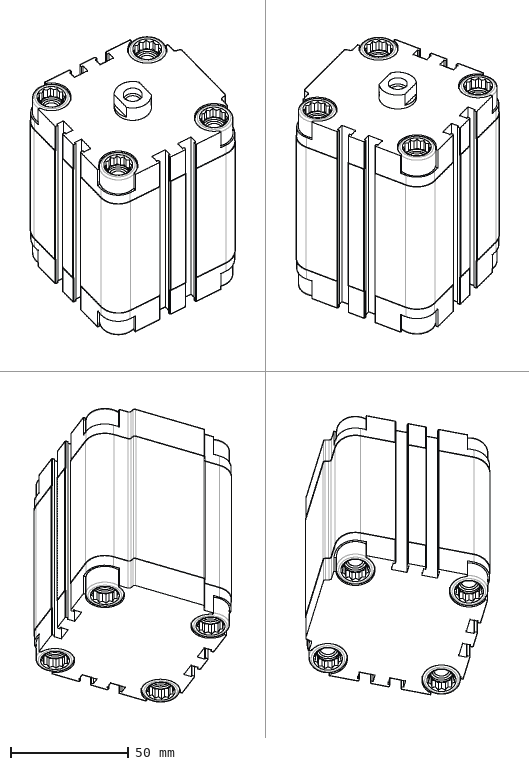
import cadquery as cq
import math

TOTAL_HEIGHT = 103.0
BODY_WIDTH = 68.0
ROD_PROJECTION = 7.5
HOUSING_HEIGHT = TOTAL_HEIGHT - ROD_PROJECTION
CAP_HEIGHT = 14.6
CAP_INSET = 0.2
CORNER_RADIUS = 9.1

PAD_RISE = 3.0
PAD_TOP_HALF_WIDTH = 16.7
PAD_BASE_HALF_WIDTH = 17.4
PAD_EDGE_ROUNDING = 0.8
PAD_ROOT_ROUNDING = 1.0

SLOT_OFFSET = 6.7
SLOT_NECK_WIDTH = 5.2
SLOT_WIDTH = 6.9
SLOT_LIP = 1.5
SLOT_DEPTH = 5.0
SLOT_LIP_CHAMFER = 0.3

BOSS_OFFSET = BODY_WIDTH / 2 - CORNER_RADIUS
BOSS_DIAMETER = 16.2
BOSS_ROUNDING = 0.9
POCKET_DIAMETER = 16.7
POCKET_DEPTH = 9.5
POCKET_INNER_EDGE = 22.2

SOCKET_POINTS = 12
SOCKET_INNER_RADIUS = 10.4 / 2
SOCKET_OUTER_RADIUS = SOCKET_INNER_RADIUS * math.cos(math.radians(15)) / math.cos(math.radians(30))
SOCKET_DEPTH = 5.3
SOCKET_MOUTH_DIAMETER = 12.4
SOCKET_MOUTH_DEPTH = 1.0
BORE_DIAMETER = 10.2
BORE_DEPTH = 6.4
HOLE_CHAMFER_DIAMETER = 8.0
THROUGH_HOLE_DIAMETER = 6.7

ROD_DIAMETER = 16.0
ROD_BOTTOM = HOUSING_HEIGHT - CAP_HEIGHT
FLAT_SPACING = 13.0
FLAT_HEIGHT = 6.0
ROD_COUNTERBORE_DIAMETER = 8.0
ROD_COUNTERBORE_DEPTH = 3.3
ROD_HOLE_DIAMETER = 6.7
ROD_HOLE_DEPTH = 14.4
DRILL_HALF_ANGLE = 59.0


def rounded_square(inset, bottom, height):
    """Square prism with rounded vertical corners."""
    width = BODY_WIDTH - 2 * inset
    return (
        cq.Workplane("XY", origin=(0, 0, bottom))
        .rect(width, width)
        .extrude(height)
        .edges("|Z")
        .fillet(CORNER_RADIUS - inset)
    )


def back_pad(inset, bottom, height):
    """Raised pad reaching from the middle of the body out past the +Y face."""
    face = BODY_WIDTH / 2 - inset
    return (
        cq.Workplane("XY", origin=(0, 0, bottom))
        .polyline([
            (-PAD_BASE_HALF_WIDTH, 0),
            (PAD_BASE_HALF_WIDTH, 0),
            (PAD_BASE_HALF_WIDTH, face),
            (PAD_TOP_HALF_WIDTH, face + PAD_RISE),
            (-PAD_TOP_HALF_WIDTH, face + PAD_RISE),
            (-PAD_BASE_HALF_WIDTH, face),
        ])
        .close()
        .extrude(height)
    )


def sensor_slot(inset, bottom, height):
    """T-slot with bevelled lips, opening through the -Y face at X = 0."""
    face = inset - BODY_WIDTH / 2
    shoulder = SLOT_LIP - BODY_WIDTH / 2
    floor = SLOT_DEPTH - BODY_WIDTH / 2
    half_neck = SLOT_NECK_WIDTH / 2
    half_mouth = half_neck + SLOT_LIP_CHAMFER
    half_channel = SLOT_WIDTH / 2
    return (
        cq.Workplane("XY", origin=(0, 0, bottom))
        .polyline([
            (-half_mouth, face),
            (half_mouth, face),
            (half_neck, face + SLOT_LIP_CHAMFER),
            (half_neck, shoulder),
            (half_channel, shoulder),
            (half_channel, floor),
            (-half_channel, floor),
            (-half_channel, shoulder),
            (-half_neck, shoulder),
            (-half_neck, face + SLOT_LIP_CHAMFER),
        ])
        .close()
        .extrude(height)
    )


def profile_section(inset, bottom, height):
    """Length of the body: rounded square with the pad on +Y and slots on the other three faces."""
    section = rounded_square(inset, bottom, height).union(back_pad(inset, bottom, height))

    middle = bottom + height / 2
    face = BODY_WIDTH / 2 - inset
    for half_width, y, radius in (
        (PAD_BASE_HALF_WIDTH, face, PAD_ROOT_ROUNDING),
        (PAD_TOP_HALF_WIDTH, face + PAD_RISE, PAD_EDGE_ROUNDING),
    ):
        for x in (-half_width, half_width):
            edge = cq.selectors.NearestToPointSelector((x, y, middle))
            section = section.edges("|Z").edges(edge).fillet(radius)

    for face_angle in (-90, 0, 90):
        for offset in (-SLOT_OFFSET, SLOT_OFFSET):
            slot = sensor_slot(inset, bottom, height).translate((offset, 0, 0))
            section = section.cut(slot.rotate((0, 0, 0), (0, 0, 1), face_angle))
    return section


def boss_pocket():
    """Clearance cut out of a top corner, leaving room for the round boss."""
    floor = HOUSING_HEIGHT - POCKET_DEPTH
    round_cut = (
        cq.Workplane("XY", origin=(BOSS_OFFSET, BOSS_OFFSET, floor))
        .circle(POCKET_DIAMETER / 2)
        .extrude(POCKET_DEPTH)
    )
    corner_size = BODY_WIDTH / 2 - POCKET_INNER_EDGE
    corner_cut = (
        cq.Workplane("XY", origin=(POCKET_INNER_EDGE, POCKET_INNER_EDGE, floor))
        .rect(corner_size, corner_size, centered=False)
        .extrude(POCKET_DEPTH)
    )
    return round_cut.union(corner_cut)


def corner_boss():
    """Round boss with a rounded rim, standing on the floor of a top corner pocket."""
    return (
        cq.Workplane("XY", origin=(BOSS_OFFSET, BOSS_OFFSET, HOUSING_HEIGHT - POCKET_DEPTH))
        .circle(BOSS_DIAMETER / 2)
        .extrude(POCKET_DEPTH)
        .faces(">Z")
        .edges()
        .fillet(BOSS_ROUNDING)
    )


def bolt_hole():
    """Countersunk twelve-point socket, bore and chamfered hole down to mid height."""
    hole_radius = THROUGH_HOLE_DIAMETER / 2
    chamfer_radius = HOLE_CHAMFER_DIAMETER / 2
    chamfer = chamfer_radius - hole_radius
    mouth_radius = SOCKET_MOUTH_DIAMETER / 2
    turned = (
        cq.Workplane("XZ")
        .polyline([
            (0, HOUSING_HEIGHT),
            (mouth_radius, HOUSING_HEIGHT),
            (BORE_DIAMETER / 2, HOUSING_HEIGHT - SOCKET_MOUTH_DEPTH),
            (BORE_DIAMETER / 2, HOUSING_HEIGHT - BORE_DEPTH),
            (chamfer_radius, HOUSING_HEIGHT - BORE_DEPTH),
            (hole_radius, HOUSING_HEIGHT - BORE_DEPTH - chamfer),
            (hole_radius, HOUSING_HEIGHT / 2),
            (0, HOUSING_HEIGHT / 2),
        ])
        .close()
        .revolve(360, (0, 0), (0, 1))
    )
    star = []
    for point in range(2 * SOCKET_POINTS):
        radius = SOCKET_INNER_RADIUS if point % 2 else SOCKET_OUTER_RADIUS
        angle = math.pi * point / SOCKET_POINTS
        star.append((radius * math.cos(angle), radius * math.sin(angle)))
    socket = (
        cq.Workplane("XY", origin=(0, 0, HOUSING_HEIGHT - SOCKET_DEPTH))
        .polyline(star)
        .close()
        .extrude(SOCKET_DEPTH)
    )
    return turned.union(socket).translate((BOSS_OFFSET, BOSS_OFFSET, 0))


def at_corners(tool):
    """Copies of a top-corner tool at all four corners, at the top and mirrored at the bottom."""
    copies = []
    for quarter in range(4):
        top = tool.rotate((0, 0, 0), (0, 0, 1), 90 * quarter)
        copies.append(top)
        copies.append(top.mirror("XY", (0, 0, HOUSING_HEIGHT / 2)))
    return copies


def make_housing():
    housing = profile_section(0, CAP_HEIGHT, HOUSING_HEIGHT - 2 * CAP_HEIGHT)
    for cap_bottom in (0, HOUSING_HEIGHT - CAP_HEIGHT):
        housing = housing.union(profile_section(CAP_INSET, cap_bottom, CAP_HEIGHT))

    for pocket in at_corners(boss_pocket()):
        housing = housing.cut(pocket)
    for boss in at_corners(corner_boss()):
        housing = housing.union(boss)
    for hole in at_corners(bolt_hole()):
        housing = housing.cut(hole)

    rod_recess = (
        cq.Workplane("XY", origin=(0, 0, ROD_BOTTOM))
        .circle(ROD_DIAMETER / 2)
        .extrude(CAP_HEIGHT)
    )
    return housing.cut(rod_recess)


def rod_hole():
    """Counterbored blind hole with a drill-point bottom."""
    wide_radius = ROD_COUNTERBORE_DIAMETER / 2
    radius = ROD_HOLE_DIAMETER / 2
    step_top = TOTAL_HEIGHT - ROD_COUNTERBORE_DEPTH
    hole_bottom = TOTAL_HEIGHT - ROD_HOLE_DEPTH
    tip_depth = radius / math.tan(math.radians(DRILL_HALF_ANGLE))
    return (
        cq.Workplane("XZ")
        .polyline([
            (0, TOTAL_HEIGHT),
            (wide_radius, TOTAL_HEIGHT),
            (wide_radius, step_top),
            (radius, step_top - (wide_radius - radius)),
            (radius, hole_bottom),
            (0, hole_bottom - tip_depth),
        ])
        .close()
        .revolve(360, (0, 0), (0, 1))
    )


def make_rod():
    rod = (
        cq.Workplane("XY", origin=(0, 0, ROD_BOTTOM))
        .circle(ROD_DIAMETER / 2)
        .extrude(TOTAL_HEIGHT - ROD_BOTTOM)
    )
    for side in (-1, 1):
        flat = (
            cq.Workplane("XY", origin=(0, side * FLAT_SPACING, TOTAL_HEIGHT - FLAT_HEIGHT))
            .rect(ROD_DIAMETER, FLAT_SPACING)
            .extrude(FLAT_HEIGHT)
        )
        rod = rod.cut(flat)
    return rod.cut(rod_hole())


housing = make_housing()
rod = make_rod()

result = cq.Compound.makeCompound([housing.val(), rod.val()])